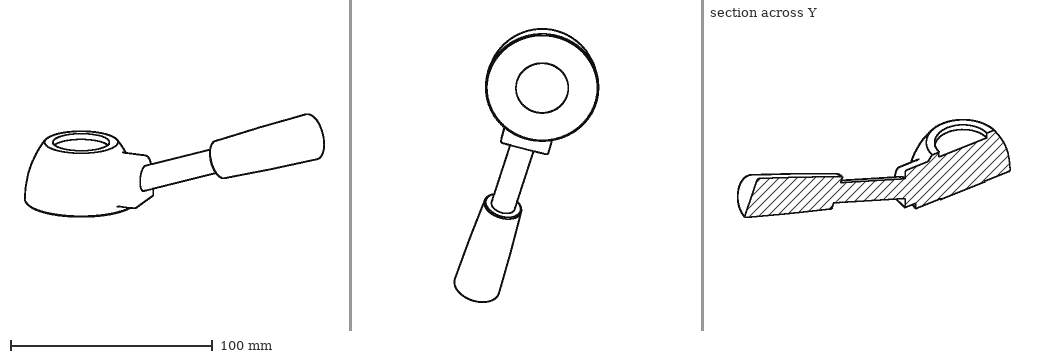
import cadquery as cq
import math

base_radius = 28.0
rim_radius = 18.8
base_bottom = 0.5
base_chamfer = 0.6
dome_start = 1.3
base_top = 30.7
rim_chamfer = 0.6
foot_diameter = 26.0
recess_diameter = 28.0
recess_depth = 3.0

lug_end = 34.1
lug_bottom = 3.9
lug_top = 27.5
lug_half_width = 12.2
crown_radius = 9.7
crown_slope = 19.5
lug_edge_fillet = 1.3
lug_root_fillet = 1.4

handle_tilt = 20.0
rod_diameter = 12.0
rod_start_x = 18.8
knob_start_x = 73.8
knob_start_z = 30.5
knob_length = 54.3
knob_joint = 26.7
knob_start_radius = 9.5
knob_joint_radius = 10.8
knob_end_radius = 11.5
knob_start_chamfer = 0.6
knob_end_fillet = 1.4


def make_base():
    """Solid dome whose side arc starts vertical just above the bottom edge."""
    height = base_top - rim_chamfer - dome_start
    inset = base_radius - rim_radius
    arc_radius = (height**2 + inset**2) / (2 * inset)
    half_angle = math.asin(height / arc_radius) / 2
    arc_middle = (
        base_radius - arc_radius * (1 - math.cos(half_angle)),
        dome_start + arc_radius * math.sin(half_angle),
    )
    return (
        cq.Workplane("XZ")
        .moveTo(0, base_bottom)
        .lineTo(base_radius - base_chamfer, base_bottom)
        .lineTo(base_radius, base_bottom + base_chamfer)
        .lineTo(base_radius, dome_start)
        .threePointArc(arc_middle, (rim_radius, base_top - rim_chamfer))
        .lineTo(rim_radius - rim_chamfer, base_top)
        .lineTo(0, base_top)
        .close()
        .revolve(360, (0, 0), (0, 1))
    )


def make_lug():
    """Lug with a round crown and flanks that curve tangentially down to vertical."""
    slope = math.radians(crown_slope)
    crown_half_width = crown_radius * math.cos(slope)
    crown_edge = lug_top - crown_radius * (1 - math.sin(slope))
    flank_radius = (crown_edge - lug_bottom) / math.sin(slope)
    flank_middle = (
        lug_half_width - flank_radius * (1 - math.cos(slope / 2)),
        lug_bottom + flank_radius * math.sin(slope / 2),
    )
    return (
        cq.Workplane("YZ")
        .moveTo(-lug_half_width, lug_bottom)
        .lineTo(lug_half_width, lug_bottom)
        .threePointArc(flank_middle, (crown_half_width, crown_edge))
        .threePointArc((0, lug_top), (-crown_half_width, crown_edge))
        .threePointArc((-flank_middle[0], flank_middle[1]), (-lug_half_width, lug_bottom))
        .close()
        .extrude(lug_end)
        .faces(">X")
        .edges("not <Z")
        .fillet(lug_edge_fillet)
    )


def make_handle():
    """Rod and tapered knob, revolved about the handle axis."""
    tilt = math.radians(handle_tilt)
    axis = cq.Vector(math.cos(tilt), 0, math.sin(tilt))
    knob_start = cq.Plane(
        origin=(knob_start_x, 0, knob_start_z),
        xDir=axis,
        normal=(0, -1, 0),
    )
    rod_radius = rod_diameter / 2
    rod_length = (knob_start_x - rod_start_x) / math.cos(tilt)
    knob = (
        cq.Workplane(knob_start)
        .lineTo(0, knob_start_radius - knob_start_chamfer)
        .lineTo(knob_start_chamfer, knob_start_radius)
        .lineTo(knob_joint, knob_joint_radius)
        .lineTo(knob_length, knob_end_radius)
        .lineTo(knob_length, 0)
        .close()
        .revolve(360, (0, 0), (1, 0))
        .faces(cq.selectors.DirectionMinMaxSelector(axis))
        .edges()
        .fillet(knob_end_fillet)
    )
    rod = (
        cq.Workplane(knob_start)
        .moveTo(-rod_length, 0)
        .lineTo(-rod_length, rod_radius)
        .lineTo(0, rod_radius)
        .lineTo(0, 0)
        .close()
        .revolve(360, (0, 0), (1, 0))
    )
    return rod.union(knob)


def blend_lug_root(body):
    """Round the seam where the crown and flanks of the lug meet the dome."""
    seam = cq.selectors.BoxSelector(
        (rim_radius, -lug_half_width, lug_bottom + lug_root_fillet),
        (lug_end - 2 * lug_edge_fillet, lug_half_width, lug_top + lug_root_fillet),
    )
    return body.edges(seam).edges("not |X").fillet(lug_root_fillet)


foot = cq.Workplane("XY").circle(foot_diameter / 2).extrude(base_top / 2)
recess = (
    cq.Workplane("XY")
    .workplane(offset=base_top - recess_depth)
    .circle(recess_diameter / 2)
    .extrude(recess_depth)
)

body = blend_lug_root(make_base().union(make_lug()))
result = body.union(foot).union(make_handle()).cut(recess)